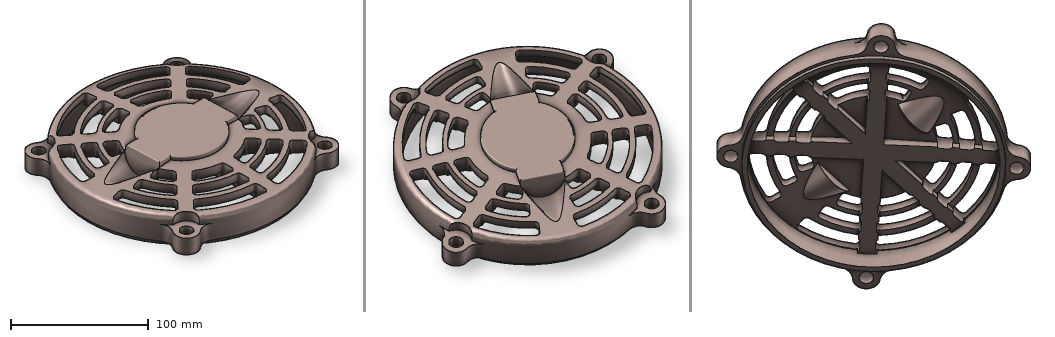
import cadquery as cq
import math

outer_radius = 97.5
lip_radius = 95.5
wall_inner_radius = 91.6
lip_height = 3.5
edge_height = 26.3
cone_slope = 0.075
plate_edge_thickness = 6.6
underside_slope = 0.04
edge_fillet = 4.9
clocking_angle = 0.6

hub_top = 34.5
hub_base = 25.4
hub_radius = 34.3
tab_half_width = 16.8
tab_reach = 41.1
tab_end_draft = 0.24
hub_fillet = 1.2

ear_centre_radius = 103.7
ear_radius = 10.1
ear_hole_diameter = 10.5
ear_top = 18.3
ear_neck_fillet = 10.7
screw_clearance_radius = 11.7

vent_rows = [(46.0, 58.1, 19.0), (61.8, 74.0, 13.7), (78.4, 91.0, 9.2)]
slot_corner_radius = 3.3
axis_spoke_half_width = 5.0
diagonal_spoke_half_width = 5.7

rib_bottom = 16.0
rib_overhang = 1.4

scoop_tip_radius = 80.7
scoop_floor_slope = 0.3
scoop_tip_curvature = 5.7
scoop_widening = 0.3
scoop_start = 39.0
scoop_end = 87.8
scoop_skin = 2.3

diagonal_angles = [45, 135, 225, 315]


def cone_height(radius):
    """Height of the conical top at a distance from the axis."""
    return edge_height + cone_slope * (outer_radius - radius)


def make_envelope():
    """Solid outer form: stepped lip, straight wall, rounded edge and conical top."""
    profile = (
        cq.Workplane("XZ")
        .moveTo(0, 0)
        .lineTo(lip_radius, 0)
        .lineTo(lip_radius, lip_height)
        .lineTo(outer_radius, lip_height)
        .lineTo(outer_radius, edge_height)
        .lineTo(0, cone_height(0))
        .close()
    )
    solid = profile.revolve(360, (0, 0, 0), (0, 1, 0))
    rim = cq.selectors.BoxSelector(
        (-2 * outer_radius, -2 * outer_radius, edge_height - 0.2),
        (2 * outer_radius, 2 * outer_radius, edge_height + 0.2),
        boundingbox=True,
    )
    return solid.edges(rim).fillet(edge_fillet)


def make_cavity():
    """Open space under the plate, with a slightly conical roof."""
    roof_edge = cone_height(wall_inner_radius) - plate_edge_thickness
    return (
        cq.Workplane("XZ")
        .moveTo(0, 0)
        .lineTo(wall_inner_radius, 0)
        .lineTo(wall_inner_radius, roof_edge)
        .lineTo(0, roof_edge + underside_slope * wall_inner_radius)
        .close()
        .revolve(360, (0, 0, 0), (0, 1, 0))
    )


def ear_cylinder(angle, radius, bottom, top):
    """Upright cylinder on the axis of the ear at the given angle."""
    x = ear_centre_radius * math.cos(math.radians(angle))
    y = ear_centre_radius * math.sin(math.radians(angle))
    return cq.Workplane("XY", origin=(x, y, bottom)).circle(radius).extrude(top - bottom)


def make_ears():
    """Four ears blended into a disc that fills the cover between lip and ear top."""
    ears = cq.Workplane("XY", origin=(0, 0, lip_height)).circle(outer_radius).extrude(ear_top - lip_height)
    for angle in diagonal_angles:
        ears = ears.union(ear_cylinder(angle, ear_radius, lip_height, ear_top))
    neck_edges = [
        edge for edge in ears.edges("|Z").vals()
        if abs(edge.Center().y) > ear_radius
        and abs(math.hypot(edge.Center().x, edge.Center().y) - outer_radius) < 0.02
    ]
    return ears.newObject(neck_edges).fillet(ear_neck_fillet)


def wedge_outline(start_angle, start_offset, end_angle, end_offset):
    """Triangle between two lines set in from rays at the two angles."""
    start = cq.Vector(math.cos(math.radians(start_angle)), math.sin(math.radians(start_angle)))
    end = cq.Vector(math.cos(math.radians(end_angle)), math.sin(math.radians(end_angle)))
    opening = math.sin(math.radians(end_angle - start_angle))
    apex = (start * end_offset + end * start_offset) * (1 / opening)
    reach = 2 * outer_radius
    corners = [apex, apex + start * reach, apex + end * reach]
    return [(corner.x, corner.y) for corner in corners]


def make_slot(inner, outer, outline):
    """Arc-shaped slot cutter with rounded corners."""
    ring = cq.Workplane("XY").circle(outer).circle(inner).extrude(hub_top)
    wedge = cq.Workplane("XY").polyline(outline).close().extrude(hub_top)
    return ring.intersect(wedge).edges("|Z").fillet(slot_corner_radius)


def make_slots():
    """Three rows of slots in eight sectors, symmetric about X and Y."""
    side_outline = wedge_outline(0, axis_spoke_half_width, 45, diagonal_spoke_half_width)
    slots = cq.Workplane("XY")
    for inner, outer, end_angle in vent_rows:
        end_outline = wedge_outline(45, diagonal_spoke_half_width, 90 - end_angle, 0)
        slots = slots.add(make_slot(inner, outer, side_outline))
        slots = slots.add(make_slot(inner, outer, end_outline))
    slots = slots.add(slots.mirror("YZ"))
    slots = slots.add(slots.mirror("XZ"))
    return slots.combine()


def make_ribs():
    """Straight bars under the X and diagonal spokes."""
    ribs = cq.Workplane("XY")
    spokes = [
        (0, axis_spoke_half_width),
        (45, diagonal_spoke_half_width),
        (135, diagonal_spoke_half_width),
    ]
    for angle, half_width in spokes:
        bar = (
            cq.Workplane("XY", origin=(0, 0, rib_bottom))
            .rect(2 * outer_radius, 2 * (half_width + rib_overhang))
            .extrude(hub_top - rib_bottom)
            .rotate((0, 0, 0), (0, 0, 1), angle)
        )
        ribs = ribs.add(bar)
    return ribs.combine()


def tab_block(half_width, bottom):
    """Bar along Y with drafted ends, reaching from the hub top down to a height."""
    foot_reach = tab_reach + tab_end_draft * (hub_top - bottom)
    return (
        cq.Workplane("YZ")
        .polyline([(-foot_reach, bottom), (foot_reach, bottom), (tab_reach, hub_top), (-tab_reach, hub_top)])
        .close()
        .extrude(half_width, both=True)
    )


def make_hub():
    """Round hub plate with its two tabs and a rounded top edge."""
    disc = cq.Workplane("XY", origin=(0, 0, hub_base)).circle(hub_radius).extrude(hub_top - hub_base)
    hub = disc.union(tab_block(tab_half_width, hub_base))
    return hub.faces(">Z").edges().fillet(hub_fillet)


def scoop_cone(growth):
    """Slanted cone along +Y, its section radius enlarged by a growth."""
    tip_height = cone_height(scoop_tip_radius)

    def section(y):
        inward = scoop_tip_radius - y
        radius = scoop_tip_curvature + scoop_widening * inward
        centre_height = tip_height - scoop_floor_slope * inward + radius
        centre = cq.Vector(0, y, centre_height)
        return cq.Wire.makeCircle(radius + growth, centre, cq.Vector(0, 1, 0))

    return cq.Workplane(cq.Solid.makeLoft([section(scoop_start), section(scoop_end)], True))


def both_ends(shape):
    """The shape together with its mirror image across the XZ plane."""
    return shape.union(shape.mirror("XZ"))


envelope = make_envelope()
cavity = make_cavity()
ribs = make_ribs().intersect(cavity)
grille = envelope.cut(cavity).union(ribs).cut(make_slots())
scoop_skins = both_ends(scoop_cone(scoop_skin)).intersect(cavity)
scoops = both_ends(scoop_cone(0)).cut(tab_block(outer_radius, 0))
cover = grille.union(scoop_skins).cut(scoops).union(make_hub())

ear_ring = make_ears().cut(cq.Workplane("XY").circle(wall_inner_radius).extrude(hub_top))
cover = cover.union(ear_ring)
for ear_angle in diagonal_angles:
    cover = cover.cut(ear_cylinder(ear_angle, screw_clearance_radius, ear_top, hub_top))
    cover = cover.cut(ear_cylinder(ear_angle, ear_hole_diameter / 2, 0, hub_top))

result = cover.rotate((0, 0, 0), (0, 0, 1), clocking_angle)